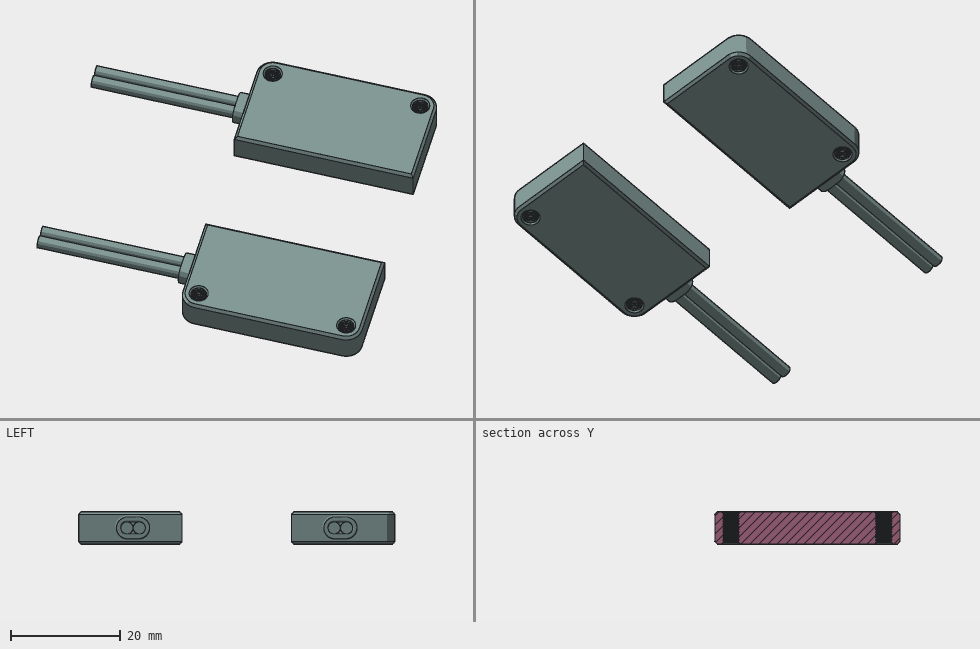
import cadquery as cq

housing_length = 34.0
housing_width = 19.0
housing_height = 6.0
corner_radius = 3.0
edge_chamfer = 0.5

thread_root_diameter = 2.9
thread_crest_diameter = 2.46
thread_turns = 11
hole_rim_diameter = 3.5
hole_rim_chamfer = (hole_rim_diameter - thread_root_diameter) / 2
thread_pitch = (housing_height - 2 * hole_rim_chamfer) / thread_turns
thread_crest_flat = thread_pitch / 4
thread_root_flat = thread_pitch / 4

collar_length = 2.0
collar_width = 6.1
collar_height = 4.0
collar_blend_radius = 0.25
collar_edge_radius = 0.2
pocket_rim_radius = 0.25

cable_length = 27.0
wire_diameter = 2.24
wire_gap = 0.04
wire_spacing = wire_diameter + wire_gap
cable_width = wire_spacing + wire_diameter
pocket_depth = 0.5

face_gap = 20.0
cable_offset = 9.0
mid_height = housing_height / 2


def make_housing():
    """Block whose far long side has rounded corners; the square side lies on Y = 0."""
    block = cq.Workplane("XY").box(housing_length, housing_width, housing_height, centered=False)
    block = block.edges("|Z and >Y").fillet(corner_radius)
    return block.faces("|Z").chamfer(edge_chamfer)


def make_hole_cutter():
    """Revolved cutter for a through hole with ring-shaped thread ridges and countersunk ends."""
    rim_radius = hole_rim_diameter / 2
    crest_radius = thread_crest_diameter / 2
    root_radius = thread_root_diameter / 2
    profile = cq.Workplane("XZ").lineTo(rim_radius, 0).lineTo(root_radius, hole_rim_chamfer)
    for turn in range(thread_turns):
        turn_start = hole_rim_chamfer + turn * thread_pitch
        crest_middle = turn_start + thread_pitch / 2
        profile = (
            profile.lineTo(root_radius, turn_start + thread_root_flat / 2)
            .lineTo(crest_radius, crest_middle - thread_crest_flat / 2)
            .lineTo(crest_radius, crest_middle + thread_crest_flat / 2)
            .lineTo(root_radius, turn_start + thread_pitch - thread_root_flat / 2)
        )
    profile = profile.lineTo(root_radius, housing_height - hole_rim_chamfer)
    profile = profile.lineTo(rim_radius, housing_height).lineTo(0, housing_height).close()
    return profile.revolve(360, (0, 0, 0), (0, 1, 0))


def exit_plane(x):
    """YZ sketch plane at the given X, centred on the cable axis."""
    return cq.Workplane("YZ", origin=(x, cable_offset, mid_height))


def add_collar(body):
    """Flat-oval collar blended into the housing, with a round-edged pocket for the cable."""
    collar = exit_plane(-collar_length).slot2D(collar_width, collar_height).extrude(collar_length)
    collar = collar.faces("<X").edges().fillet(collar_edge_radius)
    body = body.union(collar)
    root = cq.selectors.BoxSelector(
        (-collar_blend_radius / 2, cable_offset - collar_width, edge_chamfer),
        (collar_blend_radius / 2, cable_offset + collar_width, housing_height - edge_chamfer),
        boundingbox=True,
    )
    body = body.edges(root).fillet(collar_blend_radius)
    pocket = exit_plane(-collar_length).slot2D(cable_width, wire_diameter).extrude(pocket_depth)
    body = body.cut(pocket)
    pocket_rim = cq.selectors.LengthNthSelector(0)
    return body.faces("<X").wires(pocket_rim).fillet(pocket_rim_radius)


def make_wire(side):
    """One round wire of the cable, ending on the floor of the collar pocket."""
    section = exit_plane(-collar_length - cable_length).center(side * wire_spacing / 2, 0)
    return section.circle(wire_diameter / 2).extrude(cable_length + pocket_depth)


def make_unit():
    """Complete unit: housing, collar and cable in one solid."""
    unit = add_collar(make_housing())
    for hole_x in (corner_radius, housing_length - corner_radius):
        unit = unit.cut(make_hole_cutter().translate((hole_x, housing_width - corner_radius, 0)))
    for side in (-1, 1):
        unit = unit.union(make_wire(side))
    return unit


sensor = make_unit().translate((0, face_gap / 2, 0))
actuator = sensor.mirror("XZ")

result = cq.Compound.makeCompound([sensor.val(), actuator.val()])